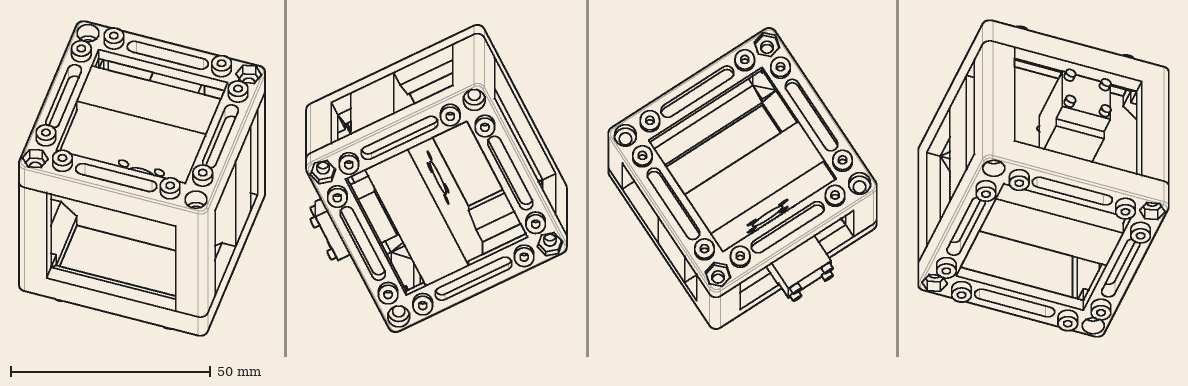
import cadquery as cq
import math

overall_length = 57.35
overall_height = 54.5
cube = 49.8
window = 34.05
inner_chamfer = 4.25
corner_radius = 2.0
edge_radius = 0.5

boss_diameter = 4.95
boss_bore = 2.05
boss_along = 14.2
bar_line = 20.7
bore_depth = 4.65
slot_length = 21.15
slot_width = 3.45
slot_depth = 4.6

bolt_line = 21.2
bolt_hole = 3.1
counterbore_diameter = 5.5
counterbore_depth = 4.6
nut_across_flats = 5.55
nut_depth = 3.45
nut_turn = 15

plate_back = 11.5
plate_thickness = 12.0
lens_hole = 9.0
mount_pitch = 9.45
plate_mount_hole = 2.5

module_width = 12.85
module_front = 14.2
module_back = 30.85
pin_diameter = 2.5
module_hole = 1.5
module_hole_depth = 2.3
connector_drop = 2.6
connector_length = 12.05

half_cube = cube / 2
half_window = window / 2
boss_height = (overall_height - cube) / 2
pin_length = overall_length - half_cube - module_back
bar = half_cube - half_window
chamfer_end = half_window + inner_chamfer
nut_across_corners = 2 * nut_across_flats / math.sqrt(3)
post_corners = [(1, -1), (-1, 1)]
free_corners = [(-1, -1), (1, 1)]
all_corners = post_corners + free_corners


def cross_prism(length):
    """Cross with slanted inner corners in the XY plane, centred on the origin along Z."""
    quarter = [(half_cube, half_window), (chamfer_end, half_window),
               (half_window, chamfer_end), (half_window, half_cube)]
    outline = []
    for sx, sy in [(1, 1), (-1, 1), (-1, -1), (1, -1)]:
        corner = [(sx * x, sy * y) for x, y in quarter]
        outline += corner if sx == sy else corner[::-1]
    return cq.Workplane("XY").polyline(outline).close().extrude(length / 2, both=True)


def hollow_cube():
    """Rounded cube opened by the windows, leaving twelve chamfered bars and posts."""
    body = cq.Workplane("XY").box(cube, cube, cube)
    body = body.edges("|Z").fillet(corner_radius)
    body = body.faces("<Z or >Z").edges().fillet(edge_radius)
    along_z = cross_prism(window)
    along_y = along_z.rotate((0, 0, 0), (1, 0, 0), 90)
    along_x = along_z.rotate((0, 0, 0), (0, 1, 0), 90)
    return body.cut(along_z).cut(along_y).cut(along_x)


def points_at(distance, corners):
    """Points at the same distance in X and Y, on the given corners."""
    return [(distance * sx, distance * sy) for sx, sy in corners]


def ring_with_posts():
    """Upper ring of the cube with the two posts on one diagonal."""
    ring_space = cq.Workplane("XY").box(cube, cube, bar).translate((0, 0, half_cube - bar / 2))
    post_space = (
        cq.Workplane("XY")
        .pushPoints(points_at(half_cube - bar / 2, post_corners))
        .rect(bar, bar)
        .extrude(half_window, both=True)
    )
    return hollow_cube().intersect(ring_space.union(post_space))


def add_bosses(frame):
    """Two bored bosses on each of the four bars."""
    front_and_back = [(x, y) for x in (-boss_along, boss_along) for y in (-bar_line, bar_line)]
    left_and_right = [(y, x) for x, y in front_and_back]
    places = front_and_back + left_and_right
    base = cq.Workplane("XY", origin=(0, 0, half_cube))
    tip = cq.Workplane("XY", origin=(0, 0, half_cube + boss_height))
    bosses = base.pushPoints(places).circle(boss_diameter / 2).extrude(boss_height)
    bores = tip.pushPoints(places).circle(boss_bore / 2).extrude(-bore_depth)
    return frame.union(bosses).cut(bores)


def cut_slots(frame):
    """One blind slot along the middle of each bar."""
    slot = (
        cq.Workplane("XY", origin=(0, bar_line, half_cube))
        .slot2D(slot_length, slot_width)
        .extrude(-slot_depth)
    )
    for angle in (0, 90, 180, 270):
        frame = frame.cut(slot.rotate((0, 0, 0), (0, 0, 1), angle))
    return frame


def cut_bolt_holes(frame):
    """Corner bolt holes: counterbores above the posts, nut pockets at the free corners."""
    top = cq.Workplane("XY", origin=(0, 0, half_cube))
    shanks = top.pushPoints(points_at(bolt_line, all_corners)).circle(bolt_hole / 2).extrude(-cube)
    heads = (
        top.pushPoints(points_at(bolt_line, post_corners))
        .circle(counterbore_diameter / 2)
        .extrude(-counterbore_depth)
    )
    frame = frame.cut(shanks).cut(heads)
    nut = cq.Workplane("XY").polygon(6, nut_across_corners).extrude(-nut_depth)
    nut = nut.rotate((0, 0, 0), (0, 0, 1), nut_turn)
    for x, y in points_at(bolt_line, free_corners):
        frame = frame.cut(nut.translate((x, y, half_cube)))
    return frame


def frame_half():
    """One of the two identical halves that interlock into the cube, posts pointing down."""
    frame = add_bosses(ring_with_posts())
    return cut_bolt_holes(cut_slots(frame))


def mount_points():
    """Square pattern shared by the mounting holes and the pins."""
    return points_at(mount_pitch / 2, all_corners)


def mounting_plate():
    """Cross-shaped plate filling the frame, with a lens hole and four mounting holes."""
    plate = cross_prism(plate_thickness).rotate((0, 0, 0), (1, 0, 0), 90)
    plate = plate.translate((0, plate_back - plate_thickness / 2, 0))
    back = cq.Workplane("XZ", origin=(0, plate_back, 0))
    plate = plate.cut(back.circle(lens_hole / 2).extrude(plate_thickness))
    return plate.cut(back.pushPoints(mount_points()).circle(plate_mount_hole / 2).extrude(plate_thickness))


def rear_module():
    """Square module with a connector below, four pins behind and four blind holes in front."""
    front = cq.Workplane("XZ", origin=(0, module_front, 0))
    module = front.rect(module_width, module_width).extrude(module_front - module_back)
    connector = (
        front.center(0, -(module_width + connector_drop) / 2)
        .rect(module_width, connector_drop)
        .extrude(-connector_length)
    )
    back = cq.Workplane("XZ", origin=(0, module_back, 0))
    pins = back.pushPoints(mount_points()).circle(pin_diameter / 2).extrude(-pin_length)
    holes = front.pushPoints(mount_points()).circle(module_hole / 2).extrude(-module_hole_depth)
    return module.union(connector).union(pins).cut(holes)


upper_frame = frame_half()
lower_frame = upper_frame.rotate((0, 0, 0), (1, 0, 0), 180)
plate = mounting_plate()
module = rear_module()

result = cq.Compound.makeCompound([upper_frame.val(), lower_frame.val(), plate.val(), module.val()])